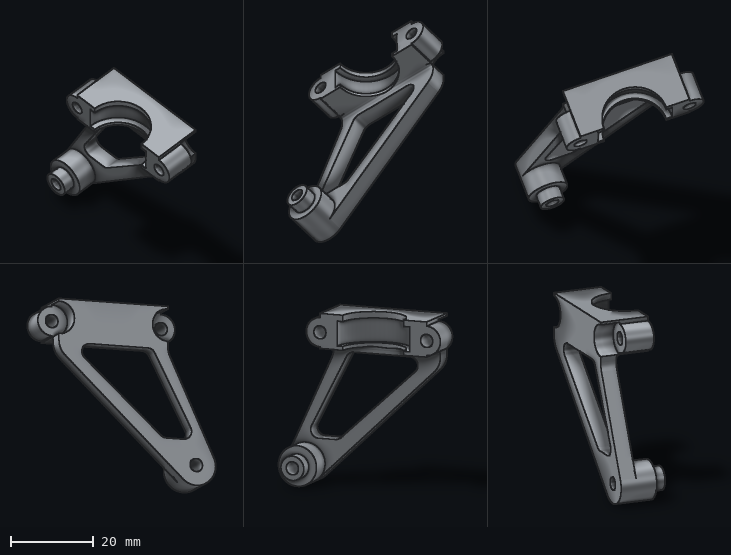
import cadquery as cq
import math

depth = 12.5
top_z = 38.6

boss_radius = 5.0
boss_length = 9.4
spigot_radius = 6.0 / 2
hole_diameter = 3.2

block_left = 7.25
block_width = 28.0
block_right = block_left + block_width
block_mid_x = block_left + block_width / 2
bore_radius = 8.0
groove_radius = 9.5
groove_top_z = top_z - 1.6
groove_height = 6.1

lug_radius = 3.6
lug_z = top_z - 4.65
lug_back_y = -5.05
clearance_radius = 8.0 / 2
block_bottom_z = lug_z - clearance_radius

arm_thickness = 4.1
arm_left_corner = (block_left, 27.3)
arm_right_corner = (block_right, 26.22)
arm_corner_radius = 5.0
root_fillet = 1.0

window_top_z = 27.98
window_bottom_z = 6.2
window_top_x = (11.23, 32.55)
window_bottom_x = (-0.1, 8.45)
window_fillet = 2.0


def rod(x, z, radius, back_y, front_y):
    """Cylinder along Y between two depths."""
    return (
        cq.Workplane("XZ", origin=(x, back_y, z))
        .circle(radius)
        .extrude(back_y - front_y)
    )


def boss_tangent_point(corner, side):
    """Point where a line from the corner touches the boss; side is +1 left, -1 right."""
    distance = math.hypot(*corner)
    angle = math.atan2(corner[1], corner[0]) + side * math.acos(boss_radius / distance)
    return boss_radius * math.cos(angle), boss_radius * math.sin(angle)


def make_arm():
    outline = [
        (0, 0),
        boss_tangent_point(arm_left_corner, 1),
        arm_left_corner,
        (block_left, block_bottom_z),
        (block_right, block_bottom_z),
        arm_right_corner,
        boss_tangent_point(arm_right_corner, -1),
    ]
    arm = cq.Workplane("XZ").polyline(outline).close().extrude(arm_thickness)
    for x, z in (arm_left_corner, arm_right_corner):
        corner_edge = cq.selectors.NearestToPointSelector((x, -arm_thickness / 2, z))
        arm = arm.edges(corner_edge).fillet(arm_corner_radius)
    window_outline = [
        (window_bottom_x[0], window_bottom_z),
        (window_top_x[0], window_top_z),
        (window_top_x[1], window_top_z),
        (window_bottom_x[1], window_bottom_z),
    ]
    window = cq.Workplane("XZ").polyline(window_outline).close().extrude(arm_thickness)
    return arm.cut(window.edges("|Y").fillet(window_fillet))


def make_block():
    height = top_z - block_bottom_z
    block = cq.Workplane("XY").box(block_width, depth, height, centered=False)
    return block.translate((block_left, -depth, block_bottom_z))


def make_root_fillet():
    """Concave strip between the block underside and the arm front."""
    return (
        cq.Workplane("YZ", origin=(block_left, 0, 0))
        .moveTo(-arm_thickness, block_bottom_z)
        .lineTo(-arm_thickness, block_bottom_z - root_fillet)
        .radiusArc((-arm_thickness - root_fillet, block_bottom_z), -root_fillet)
        .close()
        .extrude(block_width)
    )


def make_bore():
    """Half bore with a bearing groove; it also trims the root fillet below the block."""
    bore_bottom_z = block_bottom_z - root_fillet
    bore_base = cq.Workplane("XY", origin=(block_mid_x, -depth, bore_bottom_z))
    bore = bore_base.circle(bore_radius).extrude(top_z - bore_bottom_z)
    groove_base = cq.Workplane("XY", origin=(block_mid_x, -depth, groove_top_z))
    return bore.union(groove_base.circle(groove_radius).extrude(-groove_height))


result = make_block().union(make_arm()).union(make_root_fillet()).cut(make_bore())

for lug_x in (block_left, block_right):
    result = (
        result.cut(rod(lug_x, lug_z, clearance_radius, 0, lug_back_y))
        .union(rod(lug_x, lug_z, lug_radius, lug_back_y, -depth))
        .cut(rod(lug_x, lug_z, hole_diameter / 2, 0, -depth))
    )

result = (
    result.union(rod(0, 0, boss_radius, 0, -boss_length))
    .union(rod(0, 0, spigot_radius, 0, -depth))
    .cut(rod(0, 0, hole_diameter / 2, 0, -depth))
)